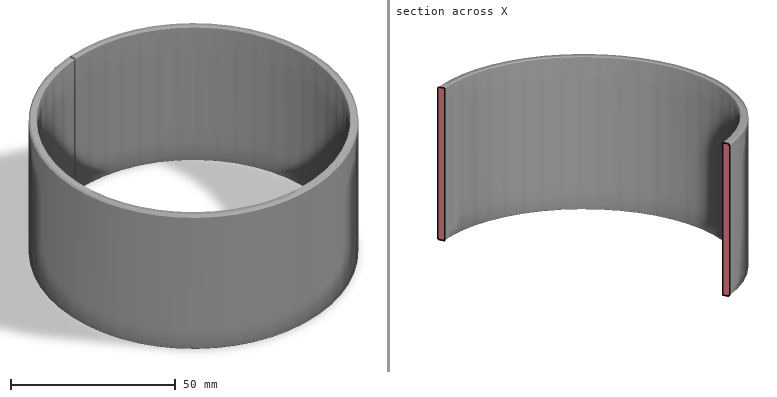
import cadquery as cq

outer_diameter = 100.0
wall = 2.5
height = 50.0
outer_chamfer = 0.5
inner_chamfer = 0.2
split_gap = 0.8

outer_radius = outer_diameter / 2
inner_radius = outer_radius - wall


def chamfered_cylinder(radius, chamfer):
    """Solid cylinder with both end edges chamfered."""
    cylinder = cq.Workplane("XY").cylinder(height, radius)
    return cylinder.faces("|Z").edges().chamfer(chamfer)


def chamfered_bore():
    """Through bore that flares at both ends, as a solid to cut away."""
    half_height = height / 2
    mouth_radius = inner_radius + inner_chamfer
    return (
        cq.Workplane("XZ")
        .moveTo(0, -half_height)
        .lineTo(mouth_radius, -half_height)
        .lineTo(inner_radius, -half_height + inner_chamfer)
        .lineTo(inner_radius, half_height - inner_chamfer)
        .lineTo(mouth_radius, half_height)
        .lineTo(0, half_height)
        .close()
        .revolve(360, (0, 0, 0), (0, 1, 0))
    )


def split_slot():
    """Full-height slot through the -X wall, with its -Y face on the axis plane."""
    slot_depth = 4 * wall
    return (
        cq.Workplane("XY")
        .box(slot_depth, split_gap, height, centered=(True, False, True))
        .translate((-outer_radius, 0, 0))
    )


result = chamfered_cylinder(outer_radius, outer_chamfer).cut(chamfered_bore()).cut(split_slot())